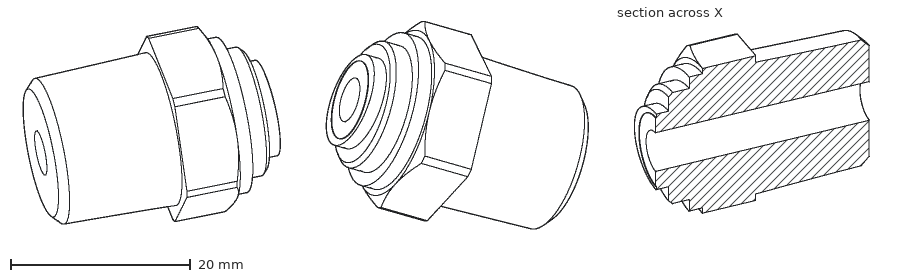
import cadquery as cq
import math

overall_length = 26.1
tip_chamfer_length = 1.0
hex_start = 13.85
hex_end = 20.35
flange_end = 22.0
collar_end = 24.5

bore_radius = 2.5
tip_face_radius = 7.25
stem_tip_radius = 8.27
stem_root_radius = 8.67
flange_radius = 8.82
collar_radius = 7.3
collar_chamfer = 0.5

button_half_width = 5.87
button_half_height = 4.99
lip_radius = 4.5
lip_height = 0.08

across_flats = 19.0
corner_diameter = 21.4
hex_chamfer_angle = 30.0


def revolve_about_y(points):
    """Revolve a closed (radius, y) profile about the Y axis."""
    profile = cq.Workplane("XY").polyline(points).close()
    return profile.revolve(360, (0, 0, 0), (0, 1, 0))


def make_stem():
    """Tapered stem with a chamfered tip."""
    return revolve_about_y([
        (0, 0),
        (tip_face_radius, 0),
        (stem_tip_radius, tip_chamfer_length),
        (stem_root_radius, hex_start),
        (0, hex_start),
    ])


def make_hex():
    """Hexagon with cylindrical corners and a conical chamfer on its rear face."""
    flat_radius = across_flats / 2
    corner_radius = corner_diameter / 2
    chamfer_drop = (corner_radius - flat_radius) * math.tan(math.radians(hex_chamfer_angle))
    sharp_diameter = across_flats / math.cos(math.radians(30))
    prism = (
        cq.Workplane("XZ", origin=(0, hex_start, 0))
        .polygon(6, sharp_diameter)
        .extrude(-(hex_end - hex_start))
    )
    envelope = revolve_about_y([
        (0, hex_start),
        (corner_radius, hex_start),
        (corner_radius, hex_end - chamfer_drop),
        (flat_radius, hex_end),
        (0, hex_end),
    ])
    return prism.intersect(envelope)


def make_rear():
    """Round flange followed by a chamfered collar."""
    return revolve_about_y([
        (0, hex_end),
        (flange_radius, hex_end),
        (flange_radius, flange_end),
        (collar_radius, flange_end),
        (collar_radius, collar_end - collar_chamfer),
        (collar_radius - collar_chamfer, collar_end),
        (0, collar_end),
    ])


def make_button():
    """Oval release button, wider along X, with a low round lip on its end."""
    button_end = overall_length - lip_height
    button = (
        cq.Workplane("XZ", origin=(0, collar_end, 0))
        .ellipse(button_half_width, button_half_height)
        .extrude(-(button_end - collar_end))
    )
    lip = cq.Workplane("XZ", origin=(0, button_end, 0)).circle(lip_radius).extrude(-lip_height)
    return button.union(lip)


def make_bore():
    """Round passage through the whole fitting."""
    return cq.Workplane("XZ").circle(bore_radius).extrude(-overall_length)


result = make_stem().union(make_hex()).union(make_rear()).union(make_button()).cut(make_bore())